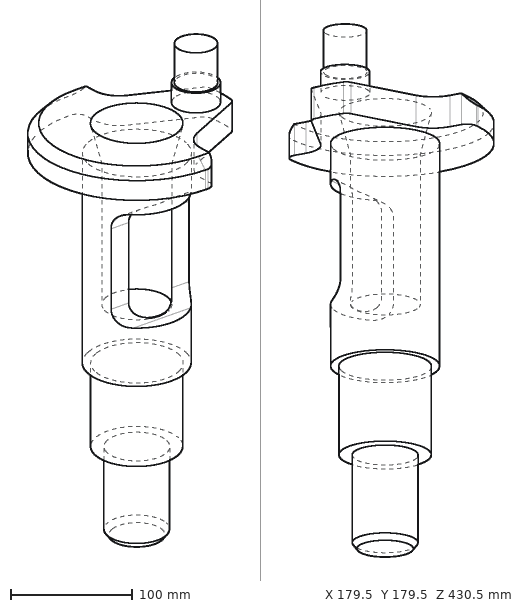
import cadquery as cq
import math

total_height = 430.5
pin_length = 35.7
collar_height = 18.0
web_thickness = 27.0
journal_length = 192.0
seat_length = 76.5

pin_top = total_height
collar_top = pin_top - pin_length
web_top = collar_top - collar_height
web_bottom = web_top - web_thickness
journal_bottom = web_bottom - journal_length
seat_bottom = journal_bottom - seat_length

journal_diameter = 90.0
seat_diameter = 76.0
tail_diameter = 54.2
tail_bevel_width = 4.0
tail_bevel_height = 5.0

web_diameter = 179.5
web_radius = web_diameter / 2
web_bevel = 9.0
shoulder_y = 11.5
waist_half_width = 53.0
tip_half_width = 17.5
waist_fillet = 26.0
tip_fillet = 6.5

pin_offset = 63.0
pin_diameter = 35.7
collar_diameter = 40.5

mouth_diameter = 76.0
bore_diameter = 57.5
mouth_depth = 35.7
window_flat_x = 17.5
window_drop = 35.0
window_height = 103.8
window_fillet = 15.0

window_top = web_bottom - window_drop
window_bottom = window_top - window_height


def cylinder(diameter, bottom, top, y):
    """Upright cylinder between two heights, centered at x = 0 and the given y."""
    return cq.Workplane("XY", origin=(0, y, bottom)).circle(diameter / 2).extrude(top - bottom)


def make_shaft():
    """Three stepped diameters with a beveled lower end."""
    tail_radius = tail_diameter / 2
    seat_radius = seat_diameter / 2
    journal_radius = journal_diameter / 2
    half_section = [
        (0, 0),
        (tail_radius - tail_bevel_width, 0),
        (tail_radius, tail_bevel_height),
        (tail_radius, seat_bottom),
        (seat_radius, seat_bottom),
        (seat_radius, journal_bottom),
        (journal_radius, journal_bottom),
        (journal_radius, web_bottom),
        (0, web_bottom),
    ]
    return cq.Workplane("XZ").polyline(half_section).close().revolve(360, (0, 0, 0), (0, 1, 0))


def round_corner_pair(body, x, y, radius):
    """Round the two upright web edges at (+x, y) and (-x, y)."""
    middle_z = (web_bottom + web_top) / 2
    for side in (-1, 1):
        corner = cq.NearestToPointSelector((side * x, y, middle_z))
        body = body.edges("|Z").edges(corner).fillet(radius)
    return body


def make_web_bevel():
    """Material outside the beveled rim: around the half disc, then straight up to the shoulders."""
    bevel_section = [
        (web_radius - web_bevel, web_top),
        (web_radius, web_top),
        (web_radius, web_top - web_bevel),
    ]
    rim = cq.Workplane("XZ").polyline(bevel_section).close().revolve(180, (0, 0, 0), (0, -1, 0))
    straight = cq.Workplane("XZ").polyline(bevel_section).close().extrude(-shoulder_y)
    return rim.union(straight).union(straight.mirror("YZ"))


def make_web():
    """Counterweight, waist and tip, with the rim beveled on the top face."""
    tip_y = math.sqrt(web_radius**2 - tip_half_width**2)
    web = (
        cq.Workplane("XY", origin=(0, 0, web_bottom))
        .moveTo(-web_radius, 0)
        .threePointArc((0, -web_radius), (web_radius, 0))
        .lineTo(web_radius, shoulder_y)
        .lineTo(waist_half_width, shoulder_y)
        .lineTo(tip_half_width, tip_y)
        .threePointArc((0, web_radius), (-tip_half_width, tip_y))
        .lineTo(-waist_half_width, shoulder_y)
        .lineTo(-web_radius, shoulder_y)
        .close()
        .extrude(web_thickness)
    )
    web = round_corner_pair(web, waist_half_width, shoulder_y, waist_fillet)
    web = round_corner_pair(web, tip_half_width, tip_y, tip_fillet)
    web = round_corner_pair(web, web_radius, shoulder_y, web_bevel)
    return web.cut(make_web_bevel())


def make_pin():
    """Crank pin standing on its slightly wider collar."""
    collar = cylinder(collar_diameter, web_top, collar_top, pin_offset)
    return collar.union(cylinder(pin_diameter, collar_top, pin_top, pin_offset))


def make_passage():
    """Tapered mouth leading into a blind bore that ends level with the window's lower edge."""
    mouth_bottom = web_top - mouth_depth
    half_section = [
        (0, window_bottom),
        (bore_diameter / 2, window_bottom),
        (bore_diameter / 2, mouth_bottom),
        (mouth_diameter / 2, web_top),
        (0, web_top),
    ]
    return cq.Workplane("XZ").polyline(half_section).close().revolve(360, (0, 0, 0), (0, 1, 0))


def make_window():
    """Side opening cut straight across the +X side of the journal, with rounded inner corners."""
    window_depth = journal_diameter / 2 - window_flat_x
    return (
        cq.Workplane("XY", origin=(window_flat_x, 0, window_bottom))
        .box(window_depth, journal_diameter, window_height, centered=(False, True, False))
        .edges("|Y and <X")
        .fillet(window_fillet)
    )


result = make_shaft().union(make_web()).union(make_pin()).cut(make_passage()).cut(make_window())